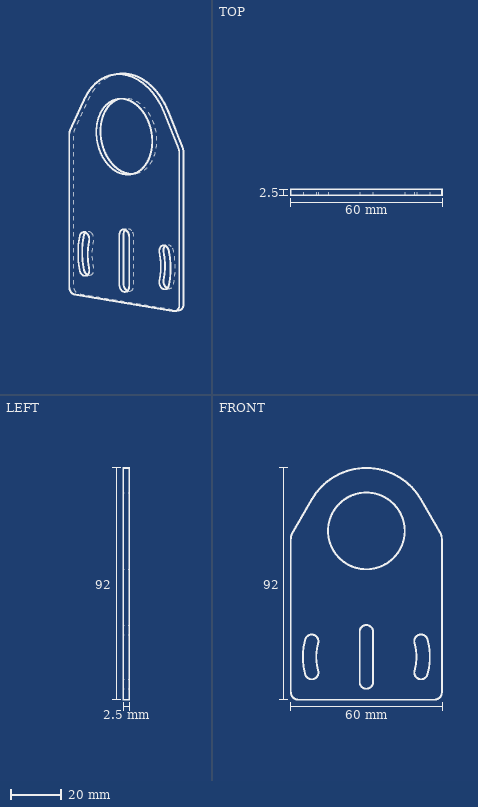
import cadquery as cq
import math

height = 92.0
width = 60.0
thickness = 2.5
bottom_corner_radius = 3.0
shoulder_corner_radius = 5.0

head_radius = 25.0
bore_radius = 15.2
head_center_z = height - head_radius
flank_angle = math.radians(30)

slot_width = 5.2
slot_length = 25.2
slot_center_z = 17.0
arc_slot_radius = 22.5
arc_slot_half_angle = math.radians(16)


def plate():
    """Plate outline: straight sides, flanks tangent to the round head."""
    half_width = width / 2
    tangent_x = head_radius * math.cos(flank_angle)
    tangent_z = head_center_z + head_radius * math.sin(flank_angle)
    shoulder_z = tangent_z - (half_width - tangent_x) / math.tan(flank_angle)
    body = (
        cq.Workplane("XZ")
        .moveTo(-half_width, 0)
        .lineTo(half_width, 0)
        .lineTo(half_width, shoulder_z)
        .lineTo(tangent_x, tangent_z)
        .threePointArc((0, height), (-tangent_x, tangent_z))
        .lineTo(-half_width, shoulder_z)
        .close()
        .extrude(thickness / 2, both=True)
    )
    for side in (-1, 1):
        for z, radius in ((0, bottom_corner_radius), (shoulder_z, shoulder_corner_radius)):
            corner = cq.selectors.NearestToPointSelector((side * half_width, 0, z))
            body = body.edges("|Y").edges(corner).fillet(radius)
    return body


def bore():
    return (
        cq.Workplane("XZ")
        .center(0, head_center_z)
        .circle(bore_radius)
        .extrude(thickness, both=True)
    )


def straight_slot():
    return (
        cq.Workplane("XZ")
        .center(0, slot_center_z)
        .slot2D(slot_length, slot_width, 90)
        .extrude(thickness, both=True)
    )


def arc_slot(side):
    """Slot with rounded ends, curved about the middle of the straight slot."""

    def point(radius, angle):
        return side * radius * math.cos(angle), radius * math.sin(angle)

    inner = arc_slot_radius - slot_width / 2
    outer = arc_slot_radius + slot_width / 2
    end = arc_slot_half_angle
    cap_angle = 2 * math.asin(slot_width / 4 / arc_slot_radius)
    tip = end + cap_angle
    return (
        cq.Workplane("XZ")
        .center(0, slot_center_z)
        .moveTo(*point(outer, -end))
        .threePointArc(point(outer, 0), point(outer, end))
        .threePointArc(point(arc_slot_radius, tip), point(inner, end))
        .threePointArc(point(inner, 0), point(inner, -end))
        .threePointArc(point(arc_slot_radius, -tip), point(outer, -end))
        .close()
        .extrude(thickness, both=True)
    )


result = plate().cut(bore()).cut(straight_slot())
for slot_side in (-1, 1):
    result = result.cut(arc_slot(slot_side))